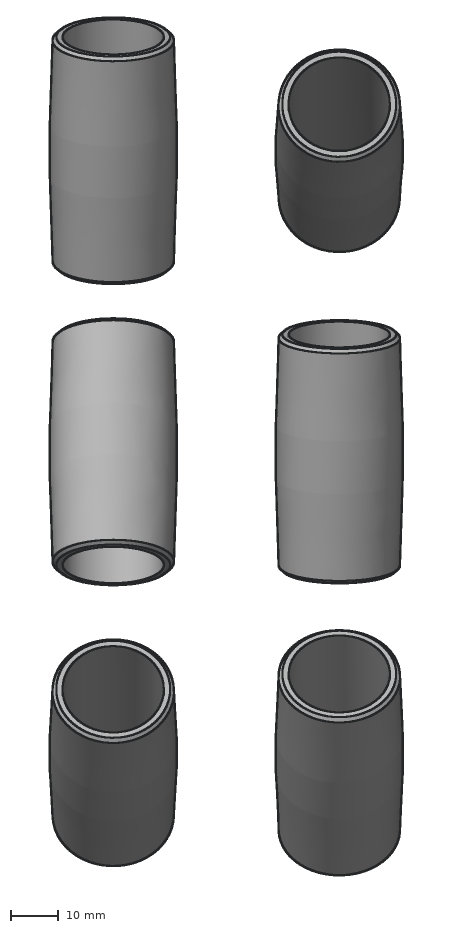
import cadquery as cq

length = 50.8
bore_diameter = 21.25
middle_diameter = 26.65

band_height = 11.5
shoulder_diameter = 25.5

chamfer_height = 0.75
face_diameter = 23.9

half_length = length / 2
half_band = band_height / 2
shoulder_height = half_length - chamfer_height

upper_outline = [
    (face_diameter / 2, half_length),
    (shoulder_diameter / 2, shoulder_height),
    (middle_diameter / 2, half_band),
]
lower_outline = [(radius, -height) for radius, height in reversed(upper_outline)]
bore_outline = [
    (bore_diameter / 2, -half_length),
    (bore_diameter / 2, half_length),
]

result = (
    cq.Workplane("XZ")
    .polyline(upper_outline + lower_outline + bore_outline)
    .close()
    .revolve(360, (0, 0, 0), (0, 1, 0))
)